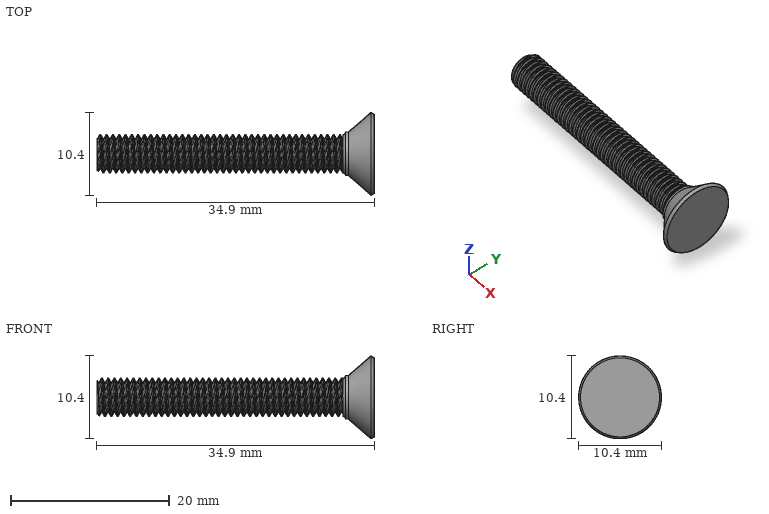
import cadquery as cq
import math

screw_length = 34.92
head_diameter = 10.45

threads_per_length = 44
thread_pitch = screw_length / threads_per_length
thread_diameter = 4.82
flank_half_angle = math.radians(30)
crest_width = thread_pitch / 8
root_width = thread_pitch / 8
flank_width = (thread_pitch - crest_width - root_width) / 2
thread_depth = flank_width / math.tan(flank_half_angle)
last_root_position = 30.8
thread_turns = 39

tip_chamfer = 0.4

head_cone_half_angle = math.radians(41)
collar_diameter = 5.5
neck_fillet = (collar_diameter - thread_diameter) / 2
rim_length = 0.42
rim_bevel = 0.25

thread_radius = thread_diameter / 2
root_radius = thread_radius - thread_depth
head_radius = head_diameter / 2
collar_radius = collar_diameter / 2
rim_start = screw_length - rim_length
cone_start = rim_start - (head_radius - collar_radius) / math.tan(head_cone_half_angle)
thread_end = thread_turns * thread_pitch
collar_start = thread_end + neck_fillet


def revolve_about_x(profile):
    return profile.close().revolve(360, (0, 0, 0), (1, 0, 0))


def make_thread_section():
    """Cross-section of the thread, square to the axis, with its root centred on local +X.

    Axial widths become angles: one pitch is one full turn around the section.
    Each flank becomes a spiral, followed by two arcs.
    """
    def polar(radius, angle):
        return (radius * math.cos(angle), radius * math.sin(angle))

    root_edge = math.pi * root_width / thread_pitch
    crest_edge = math.pi - math.pi * crest_width / thread_pitch
    flank_middle = (root_edge + crest_edge) / 2
    flank_middle_radius = (root_radius + thread_radius) / 2
    full_turn = 2 * math.pi
    corners = [
        (root_radius, -root_edge),
        (root_radius, root_edge),
        (flank_middle_radius, flank_middle),
        (thread_radius, crest_edge),
        (thread_radius, full_turn - crest_edge),
        (flank_middle_radius, full_turn - flank_middle),
        (root_radius, full_turn - root_edge),
    ]
    section = cq.Workplane("XY").moveTo(*polar(*corners[0]))
    for (radius, angle), (next_radius, next_angle) in zip(corners, corners[1:]):
        arc_middle = polar((radius + next_radius) / 2, (angle + next_angle) / 2)
        section = section.threePointArc(arc_middle, polar(next_radius, next_angle))
    return section.close()


def make_thread_turn():
    """Thread section twisted through one full turn, one pitch long from X = 0."""
    turn = make_thread_section().twistExtrude(thread_pitch, 360)
    turn = turn.rotate((0, 0, 0), (0, 1, 0), 90)
    phase = -360 * last_root_position / thread_pitch
    return turn.rotate((0, 0, 0), (1, 0, 0), phase)


def make_tip_envelope():
    """Rod outline with the tip chamfer, wider than the thread beyond it."""
    tip_radius = thread_radius - tip_chamfer
    return revolve_about_x(
        cq.Workplane("XZ")
        .lineTo(0, tip_radius)
        .lineTo(head_radius - tip_radius, head_radius)
        .lineTo(screw_length, head_radius)
        .lineTo(screw_length, 0)
    )


def make_head():
    """Neck fillet, collar, countersink cone and bevelled rim."""
    fillet_leg = neck_fillet * math.sqrt(0.5)
    fillet_middle = (thread_end + fillet_leg, collar_radius - fillet_leg)
    return revolve_about_x(
        cq.Workplane("XZ")
        .moveTo(thread_end, 0)
        .lineTo(thread_end, thread_radius)
        .threePointArc(fillet_middle, (collar_start, collar_radius))
        .lineTo(cone_start, collar_radius)
        .lineTo(rim_start, head_radius)
        .lineTo(screw_length, head_radius - rim_bevel)
        .lineTo(screw_length, 0)
    )


thread_turn = make_thread_turn()
tip_turn = thread_turn.intersect(make_tip_envelope())
last_turn = thread_turn.translate((thread_end - thread_pitch, 0, 0))
head_with_turn = make_head().union(last_turn)

skin = tip_turn.faces("not >X").vals()
side_faces = thread_turn.faces("not |X")
for index in range(1, thread_turns - 1):
    skin += side_faces.translate((index * thread_pitch, 0, 0)).vals()
skin += head_with_turn.faces("not <X").vals()
result = cq.Workplane(cq.Solid.makeSolid(cq.Shell.makeShell(skin)))